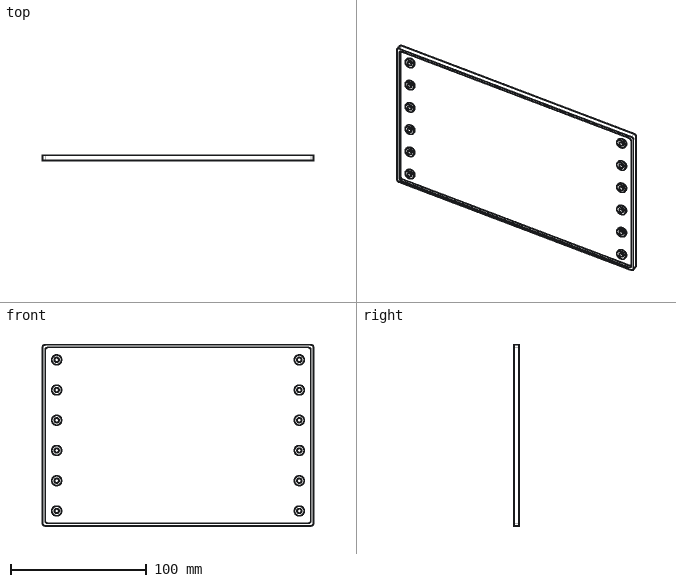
import cadquery as cq

width = 199.6
height = 133.45
thickness = 4.0
corner_radius = 2.0

rim_width = 2.0
recess_depth = 2.0
recess_corner_radius = 2.0

boss_diameter = 7.2
hole_diameter = 3.2
boss_rows = 6
boss_pitch = 22.25
column_spacing = 178.6

front_y = -thickness / 2


def rounded_plate(x_size, z_size, radius, start_y, depth):
    """Plate with rounded corners, running from start_y towards +Y."""
    plate = cq.Workplane("XY").box(x_size, depth, z_size)
    return plate.edges("|Y").fillet(radius).translate((0, start_y + depth / 2, 0))


def cylinders_at_bosses(diameter, start_y, depth):
    """Cylinders on every boss axis, running from start_y towards +Y."""
    return (
        cq.Workplane("XZ")
        .workplane(offset=-start_y)
        .rarray(column_spacing, boss_pitch, 2, boss_rows)
        .circle(diameter / 2)
        .extrude(-depth)
    )


panel = rounded_plate(width, height, corner_radius, front_y, thickness)
recess = rounded_plate(
    width - 2 * rim_width,
    height - 2 * rim_width,
    recess_corner_radius,
    front_y,
    recess_depth,
)

bosses = cylinders_at_bosses(boss_diameter, front_y, recess_depth)
holes = cylinders_at_bosses(hole_diameter, front_y, thickness)

result = panel.cut(recess).union(bosses).cut(holes)